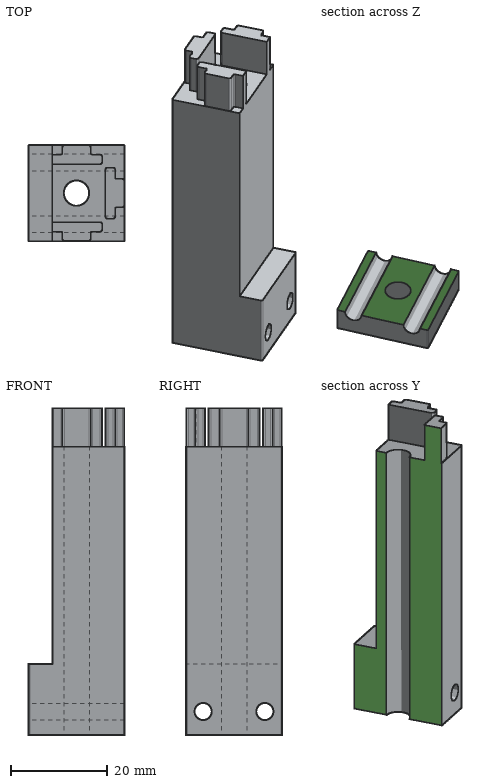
import cadquery as cq

width = 20.0
corner_radius = 0.3

foot_height = 14.8
shaft_height = 45.0
tab_height = 8.0
setback = 5.0
body_height = foot_height + shaft_height
total_height = body_height + tab_height

bore_diameter = 5.2
foot_hole_diameter = 3.5
foot_hole_spacing = 12.8
foot_hole_height = 4.9

tab_inner_face = 6.0
rib_clearance = 0.1
tab_outer_face = width / 2 - rib_clearance
flange_thickness = 2.0
flange_length = 10.6
rib_width = 5.9
tab_outer_radius = 0.45
tab_inside_radius = 0.3
tab_angles = (-90, 0, 90)


def make_column():
    """Column with rounded vertical edges, running from the base up to the tabs."""
    column = cq.Workplane("XY").rect(width, width).extrude(body_height)
    return column.edges("|Z").fillet(corner_radius)


def make_bar(inner, outer, length):
    """Upright bar on the +X side between two distances from the axis, as tall as the tabs."""
    return (
        cq.Workplane("XY", origin=((inner + outer) / 2, 0, body_height))
        .rect(outer - inner, length)
        .extrude(tab_height)
    )


def make_tab(angle):
    """One tab made on the +X side, then turned about the Z axis by an angle in degrees."""
    shoulder = tab_inner_face + flange_thickness
    flange = make_bar(tab_inner_face, shoulder, flange_length)
    flange = flange.edges("|Z").fillet(tab_outer_radius)
    rib = make_bar(tab_inner_face + flange_thickness / 2, tab_outer_face, rib_width)
    rib = rib.edges("|Z and >X").fillet(tab_outer_radius)
    tab = flange.union(rib)
    inside_corners = cq.selectors.BoxSelector(
        (shoulder - tab_inside_radius, -rib_width / 2 - tab_inside_radius, body_height),
        (shoulder + tab_inside_radius, rib_width / 2 + tab_inside_radius, total_height),
    )
    tab = tab.edges("|Z").edges(inside_corners).fillet(tab_inside_radius)
    return tab.rotate((0, 0, 0), (0, 0, 1), angle)


def make_setback():
    """Block taken away above the foot, which also trims the ends of the side tabs."""
    return (
        cq.Workplane("XY", origin=((setback - width) / 2, 0, foot_height))
        .rect(setback, width)
        .extrude(total_height - foot_height)
    )


def make_bore():
    """Bore along the axis, through the whole column."""
    return cq.Workplane("XY").circle(bore_diameter / 2).extrude(body_height)


def make_foot_holes():
    """Pair of holes along X, through the lower end of the column."""
    hole_y = foot_hole_spacing / 2
    return (
        cq.Workplane("YZ", origin=(-width / 2, 0, foot_hole_height))
        .pushPoints([(-hole_y, 0), (hole_y, 0)])
        .circle(foot_hole_diameter / 2)
        .extrude(width)
    )


part = make_column()
for tab_angle in tab_angles:
    part = part.union(make_tab(tab_angle))
part = part.cut(make_setback())
part = part.cut(make_bore())
result = part.cut(make_foot_holes())